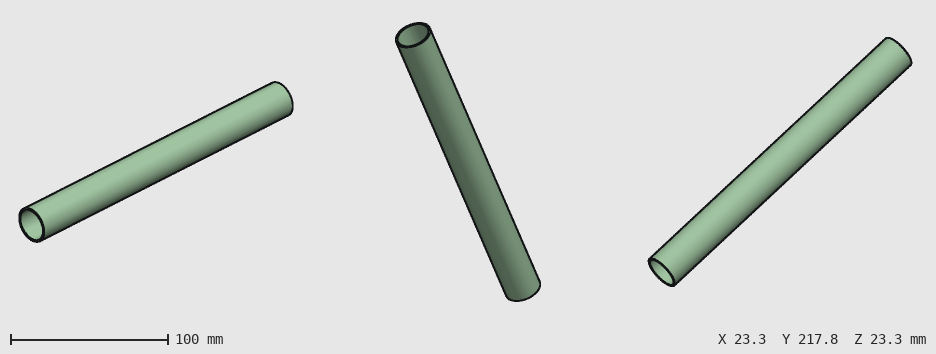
import cadquery as cq

tube_length = 217.8
outer_diameter = 23.3
wall_thickness = 1.3

outer_radius = outer_diameter / 2
inner_radius = outer_radius - wall_thickness

result = (
    cq.Workplane("XZ", origin=(0, tube_length / 2, 0))
    .circle(outer_radius)
    .circle(inner_radius)
    .extrude(tube_length)
)